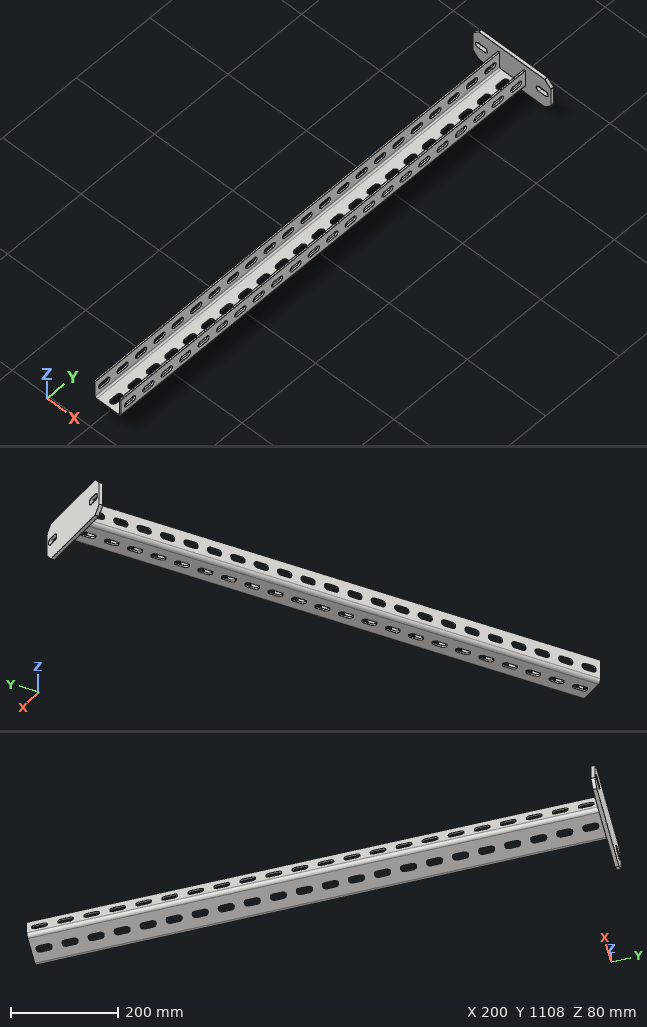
import cadquery as cq

total_length = 1108.0

plate_width = 200.0
plate_height = 80.0
plate_thickness = 8.0
plate_corner = 15.0
plate_slot_edge_gap = 8.0

channel_width = 70.0
channel_height = 50.0
channel_wall = 4.0
bend_inner_radius = channel_wall
bend_outer_radius = bend_inner_radius + channel_wall
channel_length = total_length - plate_thickness

slot_length = 30.0
slot_width = 13.0

slot_count = 22
slot_pitch = channel_length / slot_count

plate_front_y = -plate_thickness
slot_centers_y = [plate_front_y - (i + 0.5) * slot_pitch for i in range(slot_count)]


def make_plate():
    """Upright plate with four cut corners and a horizontal fixing slot near each end."""
    plate = (
        cq.Workplane("XZ")
        .rect(plate_width, plate_height)
        .extrude(plate_thickness)
        .edges("|Y")
        .chamfer(plate_corner)
    )
    slot_x = plate_width / 2 - plate_slot_edge_gap - slot_length / 2
    slots = (
        cq.Workplane("XZ")
        .pushPoints([(-slot_x, 0), (slot_x, 0)])
        .slot2D(slot_length, slot_width)
        .extrude(plate_thickness)
    )
    return plate.cut(slots)


def make_channel_profile():
    """Bent U section, centred on the plate and extruded along its full length."""
    inner_width = channel_width - 2 * channel_wall
    outer = (
        cq.Workplane("XZ", origin=(0, plate_front_y, 0))
        .rect(channel_width, channel_height)
        .extrude(channel_length)
        .edges("|Y and <Z")
        .fillet(bend_outer_radius)
    )
    inner = (
        cq.Workplane("XZ", origin=(0, plate_front_y, channel_wall))
        .rect(inner_width, channel_height)
        .extrude(channel_length)
        .edges("|Y and <Z")
        .fillet(bend_inner_radius)
    )
    return outer.cut(inner)


def make_web_slots():
    """Cutters for the row of slots along the middle of the channel floor."""
    floor_z = -channel_height / 2
    return (
        cq.Workplane("XY", origin=(0, 0, floor_z))
        .pushPoints([(0, y) for y in slot_centers_y])
        .slot2D(slot_length, slot_width, 90)
        .extrude(channel_wall)
    )


def make_flange_slots():
    """Cutters for the matching slot rows through both side walls, at mid height."""
    return (
        cq.Workplane("YZ")
        .pushPoints([(y, 0) for y in slot_centers_y])
        .slot2D(slot_length, slot_width)
        .extrude(channel_width / 2, both=True)
    )


def make_channel():
    """Slotted channel butted against the front face of the plate."""
    return make_channel_profile().cut(make_web_slots()).cut(make_flange_slots())


plate = make_plate()
channel = make_channel()

result = cq.Compound.makeCompound([plate.val(), channel.val()])